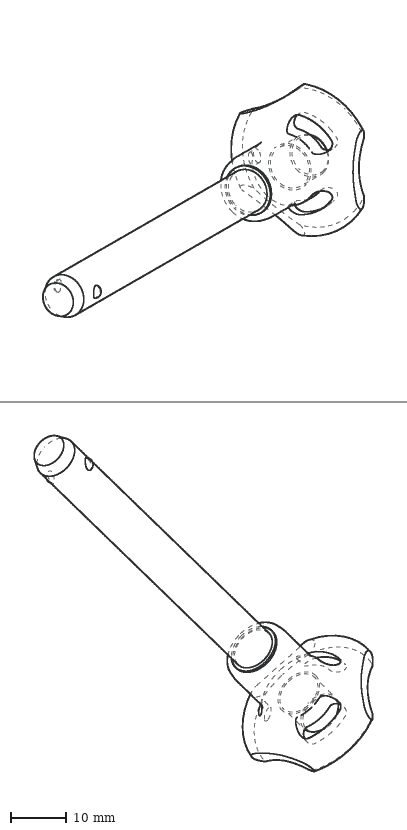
import cadquery as cq
import math

overall_length = 95.5

shaft_radius = 4.0
tip_radius = 3.15
tip_length = 2.4

ball_radius = 1.2
ball_reach = 4.8
ball_depth = 88.2

button_edge = 0.3

rim_radius = 14.4
rim_round = 1.2
rim_back_depth = 1.4
rim_front_depth = 4.5
collar_radius = 6.3
collar_start = 12.3
collar_taper_start = 21.1
collar_taper_end = 22.4
collar_taper_radius = 6.1
collar_edge_round = 0.7
washer_radius = 4.7
washer_end = 23.6
dish_floor_radius = 4.4
dish_floor_depth = 7.6

lobe_count = 3
lobe_spacing = 360 / lobe_count
scallop_half_angle = 31.3
scallop_floor = 11.6

opening_pitch_radius = 8.2
slot_width = 2.7
slot_half_angle = 23.5
slot_angles = (60, -60)
hole_diameter = 2.5

collar_end = collar_taper_end + collar_edge_round
collar_face_radius = collar_taper_radius - collar_edge_round

flare_end_radius = rim_radius - rim_round
flare_width = flare_end_radius - collar_radius
flare_length = collar_start - rim_front_depth
flare_radius = (flare_width**2 + flare_length**2) / (2 * flare_width)
flare_center_radius = collar_radius + flare_radius


def flare_point(radius):
    """Profile point on the flare arc at a given distance from the axis."""
    rise = math.sqrt(flare_radius**2 - (flare_center_radius - radius) ** 2)
    return radius, rise - collar_start


def revolve(profile):
    return profile.close().revolve(360, (0, 0, 0), (0, 1, 0))


def make_pin():
    """Button, shaft and tapered tip."""
    return revolve(
        cq.Workplane("XY")
        .lineTo(shaft_radius - button_edge, 0)
        .lineTo(shaft_radius, -button_edge)
        .lineTo(shaft_radius, tip_length - overall_length)
        .lineTo(tip_radius, -overall_length)
        .lineTo(0, -overall_length)
    )


def make_handle_body():
    """Collar and flare with a rounded rim and a conical dish in the back."""
    rim_middle_depth = (rim_back_depth + rim_front_depth) / 2
    round_diagonal = collar_edge_round * math.sqrt(0.5)
    return revolve(
        cq.Workplane("XY")
        .moveTo(0, -washer_end)
        .lineTo(washer_radius, -washer_end)
        .lineTo(washer_radius, -collar_end)
        .lineTo(collar_face_radius, -collar_end)
        .threePointArc(
            (collar_face_radius + round_diagonal, -collar_taper_end - round_diagonal),
            (collar_taper_radius, -collar_taper_end),
        )
        .lineTo(collar_radius, -collar_taper_start)
        .lineTo(collar_radius, -collar_start)
        .threePointArc(
            flare_point((collar_radius + flare_end_radius) / 2),
            (flare_end_radius, -rim_front_depth),
        )
        .threePointArc((rim_radius, -rim_middle_depth), (flare_end_radius, -rim_back_depth))
        .lineTo(dish_floor_radius, -dish_floor_depth)
        .lineTo(0, -dish_floor_depth)
    )


def point_at(radius, angle):
    """Point in the XZ plane, with the angle measured from +X toward +Z."""
    return radius * math.cos(math.radians(angle)), radius * math.sin(math.radians(angle))


def handle_cutter(sketch):
    """Extrude an XZ sketch along the pin axis through the whole handle flare."""
    return sketch.extrude(collar_end)


def make_scallop(angle):
    """Large cylinder through two lobe corners and the scallop floor."""
    corner_x, corner_z = point_at(rim_radius, scallop_half_angle)
    depth = corner_x - scallop_floor
    radius = (corner_z**2 + depth**2) / (2 * depth)
    center = point_at(scallop_floor + radius, angle)
    return handle_cutter(cq.Workplane("XZ").center(*center).circle(radius))


def make_slot(angle):
    """Curved slot concentric with the pin, with round ends."""
    start = angle - slot_half_angle
    end = angle + slot_half_angle
    inner = opening_pitch_radius - slot_width / 2
    outer = opening_pitch_radius + slot_width / 2
    cap_angle = math.degrees(slot_width / 2 / opening_pitch_radius)
    return handle_cutter(
        cq.Workplane("XZ")
        .moveTo(*point_at(inner, start))
        .threePointArc(point_at(inner, angle), point_at(inner, end))
        .threePointArc(
            point_at(opening_pitch_radius, end + cap_angle),
            point_at(outer, end),
        )
        .threePointArc(point_at(outer, angle), point_at(outer, start))
        .threePointArc(
            point_at(opening_pitch_radius, start - cap_angle),
            point_at(inner, start),
        )
        .close()
    )


def make_lanyard_hole():
    return handle_cutter(
        cq.Workplane("XZ").center(-opening_pitch_radius, 0).circle(hole_diameter / 2)
    )


def make_ball(side):
    center_x = side * (ball_reach - ball_radius)
    return cq.Workplane("XY").sphere(ball_radius).translate((center_x, -ball_depth, 0))


handle = make_handle_body()
for lobe in range(lobe_count):
    handle = handle.cut(make_scallop(lobe * lobe_spacing))
for slot_angle in slot_angles:
    handle = handle.cut(make_slot(slot_angle))
handle = handle.cut(make_lanyard_hole())

result = make_pin().union(handle)
for ball_side in (-1, 1):
    result = result.union(make_ball(ball_side))